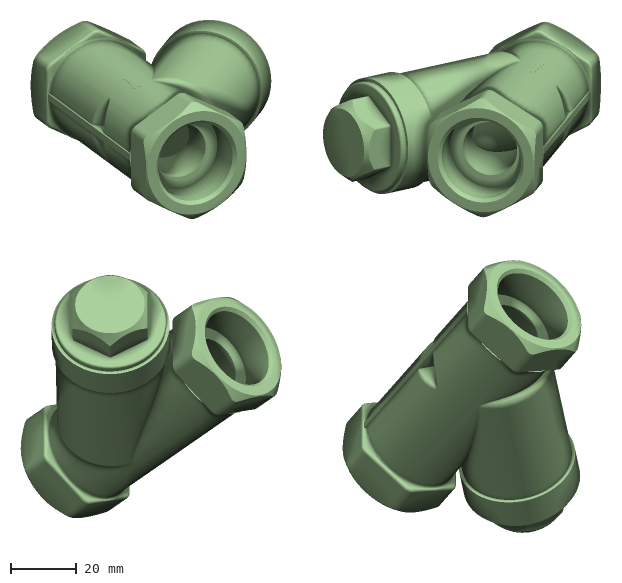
import cadquery as cq
import math


run_length = 85.0
barrel_radius = 16.0
bore_diameter = 17.0

nut_flats = 33.7
nut_length = 12.1
nut_corner_round = 3.0
nut_inner_round = 0.9
nut_face_diameter = 33.15
nut_chamfer_length_per_radius = 1.0
neck_round = 0.85
socket_diameter = 25.0
socket_depth = nut_length
socket_mouth_diameter = 27.0

rib_width = 2.2
rib_reach = 16.5
notch_x = 4.85
notch_apex_y = -11.8
notch_root_round = 1.0
notch_edge_round = 1.0

arrow_tip_x = 0.6
arrow_y = -5.4
arrow_length = 10.9
arrow_head_length = 1.5
arrow_head_width = 1.7
arrow_shaft_end = 7.7
arrow_shaft_width = 1.0
arrow_tail_width = 2.0
arrow_tail_notch = 0.85
arrow_height = 0.1

branch_angle = 40.0
branch_offset = 11.7
branch_start = -8.7
branch_diameter = 34.0
branch_root_round = 2.55
collar_start = 34.3
collar_end = 44.5
collar_diameter = 36.0

flange_diameter = branch_diameter
flange_end = 46.5
flange_round = 0.7
cap_end = 55.85
cap_flats = 22.95
cap_corner_round = 0.85
cap_face_diameter = 21.25
cap_chamfer_length_per_radius = 1.3


def cylinder(diameter, start_x, end_x):
    """Cylinder around the X axis between two X positions."""
    return cq.Workplane("YZ", origin=(start_x, 0, 0)).circle(diameter / 2).extrude(end_x - start_x)


def hexagon(flats, length, corner_round):
    """Hexagonal prism along +X from the origin, with corners toward +Z and -Z."""
    corner_diameter = flats / math.cos(math.radians(30))
    prism = cq.Workplane("YZ").polygon(6, corner_diameter).extrude(length)
    prism = prism.rotate((0, 0, 0), (1, 0, 0), 30)
    return prism.edges("|X").fillet(corner_round)


def face_cone(face_diameter, length_per_radius, length):
    """Cone widening along +X from the given face diameter, for turning down hexagon corners."""
    face_radius = face_diameter / 2
    far_radius = face_radius + length / length_per_radius
    profile = [(0, 0), (0, face_radius), (length, far_radius), (length, 0)]
    return cq.Workplane("XY").polyline(profile).close().revolve(360, (0, 0, 0), (1, 0, 0))


def end_nut():
    """Nut whose outer face lies at X = 0, with the rounded neck that joins it to the barrel."""
    nut = hexagon(nut_flats, nut_length, nut_corner_round)
    nut = nut.faces(">X").edges().fillet(nut_inner_round)
    nut = nut.intersect(face_cone(nut_face_diameter, nut_chamfer_length_per_radius, nut_length))
    neck_end = nut_length + neck_round
    neck_radius = barrel_radius + neck_round
    arc_offset = neck_round * math.sqrt(0.5)
    neck = (
        cq.Workplane("XY")
        .moveTo(nut_length - neck_round, 0)
        .lineTo(nut_length - neck_round, barrel_radius)
        .lineTo(nut_length, barrel_radius)
        .lineTo(nut_length, neck_radius)
        .threePointArc((neck_end - arc_offset, neck_radius - arc_offset), (neck_end, barrel_radius))
        .lineTo(neck_end, 0)
        .close()
        .revolve(360, (0, 0, 0), (1, 0, 0))
    )
    return nut.union(neck)


def end_socket():
    """Pipe socket opening at X = 0, with a 45 degree chamfer at its mouth."""
    socket_radius = socket_diameter / 2
    mouth_radius = socket_mouth_diameter / 2
    profile = [
        (0, 0),
        (0, mouth_radius),
        (mouth_radius - socket_radius, socket_radius),
        (socket_depth, socket_radius),
        (socket_depth, 0),
    ]
    return cq.Workplane("XY").polyline(profile).close().revolve(360, (0, 0, 0), (1, 0, 0))


def at_both_ends(shape):
    """Place a shape built from X = 0 at the -X end of the run and mirrored at the +X end."""
    left = shape.translate((-run_length / 2, 0, 0))
    return left.union(left.mirror("YZ"))


def barrel():
    """Round barrel with the rounded V notch across its -Y side."""
    half_length = run_length / 2 - nut_length
    body = cylinder(2 * barrel_radius, -half_length, half_length)
    notch_size = 2 * barrel_radius + notch_apex_y
    notch = (
        cq.Workplane("XY", origin=(0, 0, -barrel_radius))
        .moveTo(notch_x, notch_apex_y)
        .lineTo(notch_x - notch_size, notch_apex_y - notch_size)
        .lineTo(notch_x + notch_size, notch_apex_y - notch_size)
        .close()
        .extrude(2 * barrel_radius)
        .edges("|Z and >Y")
        .fillet(notch_root_round)
    )
    body = body.cut(notch)
    rim_zone = cq.selectors.BoxSelector(
        (notch_x - notch_size, -2 * barrel_radius, -barrel_radius),
        (notch_x + notch_size, notch_apex_y, barrel_radius),
    )
    return body.edges(rim_zone).edges("not(|Z)").fillet(notch_edge_round)


def rib():
    """Flat-topped rib between the nuts, running on across the notch."""
    length = run_length - 2 * nut_length
    return cq.Workplane("XY").box(length, rib_reach, rib_width).translate((0, -rib_reach / 2, 0))


def arrow():
    """Flow arrow standing slightly proud of the barrel."""
    shaft = arrow_shaft_width / 2
    head = arrow_head_width / 2
    tail = arrow_tail_width / 2
    outline = [
        (0, 0),
        (arrow_head_length, head),
        (arrow_head_length, shaft),
        (arrow_shaft_end, shaft),
        (arrow_shaft_end, tail),
        (arrow_length, tail),
        (arrow_length - arrow_tail_notch, 0),
        (arrow_length, -tail),
        (arrow_shaft_end, -tail),
        (arrow_shaft_end, -shaft),
        (arrow_head_length, -shaft),
        (arrow_head_length, -head),
    ]
    column = (
        cq.Workplane("XY", origin=(arrow_tip_x, arrow_y, barrel_radius / 2))
        .polyline(outline)
        .close()
        .extrude(barrel_radius)
    )
    skin = cylinder(2 * (barrel_radius + arrow_height), 0, run_length / 2)
    return column.intersect(skin)


def place_on_branch(shape):
    """Turn a shape built along -X onto the branch axis."""
    shape = shape.translate((0, branch_offset, 0))
    return shape.rotate((0, 0, 0), (0, 0, 1), -branch_angle)


def branch_stem():
    """Round stem of the branch with a sharp root edge, built along -X."""
    return cylinder(branch_diameter, -collar_start, -branch_start)


def branch():
    """Solid branch with a rounded root edge, collar, flange and hexagonal cap."""
    stem = branch_stem().faces(">X").edges().fillet(branch_root_round)
    collar = cylinder(collar_diameter, -collar_end, -collar_start)
    flange = cylinder(flange_diameter, -flange_end, -collar_end)
    flange = flange.faces("<X").edges().fillet(flange_round)
    cap_length = cap_end - flange_end
    cap = hexagon(cap_flats, cap_length, cap_corner_round)
    cap = cap.intersect(face_cone(cap_face_diameter, cap_chamfer_length_per_radius, cap_length))
    cap = cap.translate((-cap_end, 0, 0))
    return place_on_branch(stem.union(collar).union(flange).union(cap))


run = barrel().union(at_both_ends(end_nut())).union(rib()).union(arrow())
bore = cylinder(bore_diameter, -run_length / 2, run_length / 2)
run = run.cut(bore).cut(at_both_ends(end_socket()))

run_core = cylinder(socket_diameter, -run_length / 2, run_length / 2)
bore_stop = place_on_branch(branch_stem()).intersect(run_core)
result = run.union(branch()).union(bore_stop)